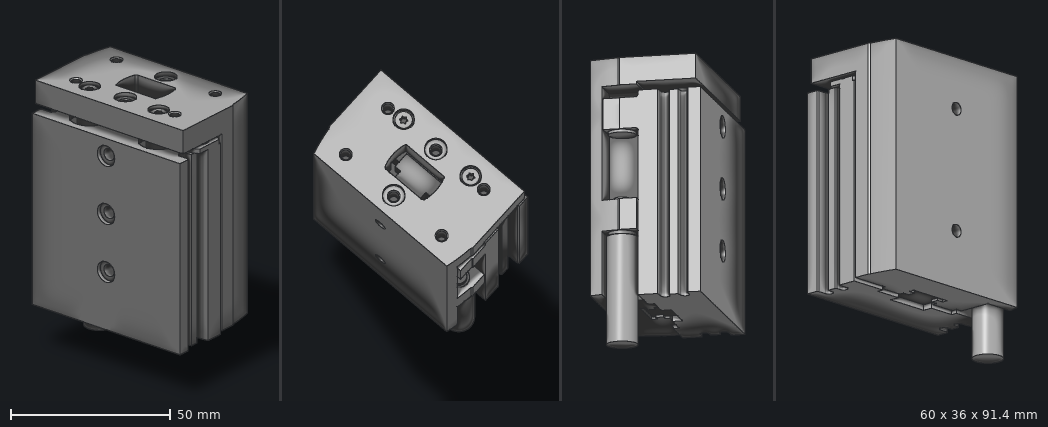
import cadquery as cq
import math


width = 60.0
half_width = width / 2
depth = 36.0
height = 91.4

housing_height = 66.0
housing_top = 80.5
housing_bottom = housing_top - housing_height
housing_back = 20.1
channel_floor = 18.1
channel_width = 33.8

slot_width = 2.9
slot_depth = 5.0
slot_y_front = 5.85
slot_y_back = 12.2
front_flare = (0.55, 0.4)
back_flare = (1.8, 0.3)
land_depth = 1.6

mount_pitch = 20.0
mount_hole = 4.1
mount_bore = 7.0
mount_bore_depth = 1.5
mount_top_margin = 6.0
mount_mid = housing_top - mount_top_margin - mount_pitch

stop_disc = 12.0
stop_disc_x = 26.3
stop_disc_y = 14.6
stop_disc_top = 82.1
stop_pin = 5.0
stop_pin_top = 82.35

plate_thickness = 8.0
plate_front = 1.55
plate_bottom = height - plate_thickness
slide_step = 20.7
slide_bottom = 15.5
shoulder_start = 26.1
shoulder_end = 26.7
shoulder_inset = 0.4
back_inset = 2.2
side_bulge = 0.2
rib_front = 18.8
rib_width = 32.9
rib_top = 76.8

pocket_wall = -18.55
pocket_back = 32.1
pocket_fillet = 1.5
pocket_top = 82.5
block_top = 45.9
block_bottom = 35.9

rail_width = 15.2
rail_front = 14.8
rail_back = 24.4
rail_top = 82.2
rail_length = 65.8
rail_bottom = rail_top - rail_length
track_depth = 2.3
track_front = 20.4
track_back = 22.9
groove_back = 24.9

window_front = 14.6
window_end_half = 8.0
window_mid_half = 9.0
window_chamfer = 0.55

hole_pitch = 20.0
hole_row_front = 9.6
hole_row_back = hole_row_front + hole_pitch
thread_core = 3.2
thread_rim = 4.0
thread_depth = 7.3
thread_chamfer = (thread_rim - thread_core) / 2

rod_diameter = 8.0
rod_x = 14.0
rod_y = 9.0
rod_length = 54.8
rod_bottom = plate_bottom - rod_length
screw_shank = 3.2
screw_face = 5.5
screw_bore = 6.7
screw_head_height = 2.7
screw_recess = 0.9
screw_top = height - screw_recess
screw_seat = screw_top - screw_head_height
socket_tip = 2.65
socket_root = 1.8
socket_depth = 2.3
socket_points = 6
rod_seat = 12.8
rod_seat_depth = 1.8

absorber_x = -24.5
absorber_y = 26.5
absorber_diameter = 10.0
absorber_shoulder = 34.7
absorber_neck = 9.0
absorber_thread = 6.7
absorber_thread_top = 45.0
absorber_pin = 5.0
absorber_top = 47.1

lug_top = 78.4
lug_bottom = 68.5
lug_back = 31.5
lug_clearance = 0.6
lug_fillet = 0.9
lug_pad = 9.0
lug_pad_height = 0.9


def block(x_range, y_range, z_range):
    """Box spanning the given (low, high) ranges."""
    low, high = zip(x_range, y_range, z_range)
    size = [b - a for a, b in zip(low, high)]
    return cq.Workplane("XY").box(*size, centered=False).translate(low)


def centred_block(size_x, y_range, z_range):
    return block((-size_x / 2, size_x / 2), y_range, z_range)


def upright_cylinder(diameter, x, y, z_range):
    bottom, top = z_range
    return cq.Workplane("XY", origin=(x, y, bottom)).circle(diameter / 2).extrude(top - bottom)


def front_cylinder(diameter, z, y_range):
    """Cylinder along Y on the centre plane."""
    front, back = y_range
    face = cq.Workplane("XZ", origin=(0, front, z)).circle(diameter / 2)
    return face.extrude(front - back)


def side_slot(side, centre_y, front_depth, back_depth):
    """Round-bottomed sensor slot over the full housing height.

    The flares of its mouth start at the given depths in from the side face.
    """
    radius = slot_width / 2
    front_run, front_rise = front_flare
    back_run, back_rise = back_flare

    def point(depth_in, across):
        return (side * (half_width - depth_in), centre_y + across)

    profile = (
        cq.Workplane("XY", origin=(0, 0, housing_bottom))
        .moveTo(*point(-land_depth, radius + back_rise))
        .lineTo(*point(back_depth, radius + back_rise))
        .lineTo(*point(back_depth + back_run, radius))
        .lineTo(*point(slot_depth - radius, radius))
        .threePointArc(point(slot_depth, 0), point(slot_depth - radius, -radius))
        .lineTo(*point(front_depth + front_run, -radius))
        .lineTo(*point(front_depth, -radius - front_rise))
        .lineTo(*point(-land_depth, -radius - front_rise))
        .close()
    )
    return profile.extrude(housing_height)


def make_lug():
    """Side lug on the housing with its round landing pad underneath."""
    lug_x = (-half_width + shoulder_inset, pocket_wall - lug_clearance)
    root_x = (-half_width, lug_x[1])
    lug = block(lug_x, (housing_back, lug_back), (lug_bottom, lug_top))
    root = block(root_x, (housing_back, shoulder_start), (lug_bottom, lug_top))
    pad = upright_cylinder(lug_pad, absorber_x, absorber_y, (lug_bottom - lug_pad_height, lug_bottom))
    return lug.union(root).union(pad)


def make_housing():
    z_range = (housing_bottom, housing_top)
    body = centred_block(width, (0, housing_back), z_range)
    body = body.union(make_lug())
    lug_roots = cq.selectors.BoxSelector(
        (-half_width, housing_back - 0.1, lug_bottom - 0.1),
        (0, housing_back + 0.1, lug_top + 0.1),
    )
    body = body.edges("|X").edges(lug_roots).fillet(lug_fillet)

    body = body.cut(centred_block(channel_width, (channel_floor, housing_back), z_range))
    body = body.cut(centred_block(rail_width, (rail_front, housing_back), z_range))

    for side in (-1, 1):
        body = body.cut(side_slot(side, slot_y_front, 0, land_depth))
        body = body.cut(side_slot(side, slot_y_back, land_depth, 0))
        land_x = sorted((side * half_width, side * (half_width - land_depth)))
        body = body.cut(block(land_x, (slot_y_front, slot_y_back), z_range))
        body = body.cut(upright_cylinder(rod_diameter, side * rod_x, rod_y, (rod_bottom, housing_top)))
        seat_z = (housing_top - rod_seat_depth, housing_top)
        body = body.cut(upright_cylinder(rod_seat, side * rod_x, rod_y, seat_z))

    for row in (-1, 0, 1):
        hole_z = mount_mid + row * mount_pitch
        body = body.cut(front_cylinder(mount_hole, hole_z, (0, rail_front)))
        body = body.cut(front_cylinder(mount_bore, hole_z, (0, mount_bore_depth)))

    disc = upright_cylinder(stop_disc, stop_disc_x, stop_disc_y, (housing_top, stop_disc_top))
    pin = upright_cylinder(stop_pin, stop_disc_x, stop_disc_y, (housing_top, stop_pin_top))
    return body.union(pin).union(disc.intersect(centred_block(width, (0, depth), (0, height))))


def slide_outline(front):
    """Plan outline: straight sides, a small shoulder, then slightly bowed tapering sides."""
    shoulder_x = half_width - shoulder_inset
    back_x = half_width - back_inset
    mid_x = (shoulder_x + back_x) / 2 + side_bulge
    mid_y = (shoulder_end + depth) / 2
    return (
        cq.Workplane("XY")
        .moveTo(-half_width, front)
        .lineTo(half_width, front)
        .lineTo(half_width, shoulder_start)
        .lineTo(shoulder_x, shoulder_end)
        .threePointArc((mid_x, mid_y), (back_x, depth))
        .lineTo(-back_x, depth)
        .threePointArc((-mid_x, mid_y), (-shoulder_x, shoulder_end))
        .lineTo(-half_width, shoulder_start)
        .close()
    )


def side_pocket(z_range):
    """Pocket open to the -X side and the front, with rounded corners at its inner wall."""
    pocket = block((-width, pocket_wall), (rib_front, pocket_back), z_range)
    return pocket.edges("|Y and >X").fillet(pocket_fillet)


def make_window():
    mid_y = (window_front + groove_back) / 2
    bottom = rib_top
    profile = (
        cq.Workplane("XY", origin=(0, 0, bottom))
        .moveTo(-window_end_half, window_front)
        .lineTo(window_end_half, window_front)
        .threePointArc((window_mid_half, mid_y), (window_end_half, groove_back))
        .lineTo(-window_end_half, groove_back)
        .threePointArc((-window_mid_half, mid_y), (-window_end_half, window_front))
        .close()
    )
    window = profile.extrude(height - bottom)
    return window.edges("|Z and >Y").chamfer(window_chamfer)


def rail_tracks(z_range):
    """The two square tracks in the rail sides, filled by tongues on the slide."""
    edge = rail_width / 2
    left = block((-edge, track_depth - edge), (track_front, track_back), z_range)
    return left.union(left.mirror("YZ"))


def threaded_hole(x, y, top):
    core = upright_cylinder(thread_core, x, y, (height - thread_depth, top))
    rim = cq.Workplane("XY", origin=(x, y, top)).circle(thread_rim / 2)
    return core.union(rim.workplane(offset=-thread_chamfer).circle(thread_core / 2).loft())


def make_slide():
    body = slide_outline(plate_front).extrude(plate_thickness).translate((0, 0, plate_bottom))
    upright = slide_outline(slide_step).extrude(height - slide_bottom).translate((0, 0, slide_bottom))
    rib = centred_block(rib_width, (rib_front, slide_step), (slide_bottom, rib_top))
    body = body.union(upright).union(rib)

    body = body.cut(side_pocket((block_top, pocket_top)))
    body = body.cut(side_pocket((slide_bottom - pocket_fillet * 2, block_bottom)))
    body = body.cut(
        upright_cylinder(absorber_thread, absorber_x, absorber_y, (block_bottom, block_top))
    )

    groove_z = (slide_bottom, rib_top)
    groove = centred_block(rail_width, (rib_front, groove_back), groove_z)
    body = body.cut(groove.cut(rail_tracks(groove_z)))
    body = body.cut(make_window())

    for x in (-hole_pitch, 0, hole_pitch):
        for y in (hole_row_front, hole_row_back):
            top = height
            if x == 0:
                top = height - mount_bore_depth
                body = body.cut(upright_cylinder(mount_bore, x, y, (top, height)))
            body = body.cut(threaded_hole(x, y, top))

    for side in (-1, 1):
        body = body.cut(upright_cylinder(screw_shank, side * rod_x, rod_y, (plate_bottom, screw_seat)))
        body = body.cut(upright_cylinder(screw_bore, side * rod_x, rod_y, (screw_seat, height)))

    for row in (-1, 1):
        hole_z = mount_mid + row * mount_pitch
        body = body.cut(front_cylinder(mount_hole, hole_z, (rib_front, depth)))
    return body


def make_rail():
    z_range = (rail_bottom, rail_top)
    body = centred_block(rail_width, (rail_front, rail_back), z_range)
    body = body.cut(rail_tracks(z_range))
    for row in (-1, 1):
        hole_z = mount_mid + row * mount_pitch
        body = body.cut(front_cylinder(mount_hole, hole_z, (rail_front, rail_back)))
    return body


def star_socket(x):
    points = []
    for i in range(2 * socket_points):
        radius = (socket_tip if i % 2 == 0 else socket_root) / 2
        angle = math.pi / 2 + i * math.pi / socket_points
        points.append((radius * math.cos(angle), radius * math.sin(angle)))
    face = cq.Workplane("XY", origin=(x, rod_y, screw_top)).polyline(points).close()
    return face.extrude(-socket_depth)


def make_rod(x):
    """Piston rod below the plate, joined through it to the screw head in the plate top."""
    rod = upright_cylinder(rod_diameter, x, rod_y, (rod_bottom, plate_bottom))
    shank = upright_cylinder(screw_shank, x, rod_y, (plate_bottom, screw_seat))
    head = upright_cylinder(screw_bore, x, rod_y, (screw_seat, screw_top))
    head = head.faces(">Z").chamfer((screw_bore - screw_face) / 2)
    return rod.union(shank).union(head).cut(star_socket(x))


def make_absorber():
    """Stepped cylinder, listed as (diameter, top) from the lower end upward."""
    steps = [
        (absorber_diameter, absorber_shoulder),
        (absorber_neck, block_bottom),
        (absorber_thread, absorber_thread_top),
        (absorber_pin, absorber_top),
    ]
    body = cq.Workplane("XY")
    bottom = 0
    for diameter, top in steps:
        body = body.add(upright_cylinder(diameter, absorber_x, absorber_y, (bottom, top)))
        bottom = top
    return body.combine()


housing = make_housing()
slide = make_slide()
rail = make_rail()
rods = [make_rod(side * rod_x) for side in (-1, 1)]
absorber = make_absorber()

result = cq.Compound.makeCompound(
    [housing.val(), slide.val(), rail.val(), *[rod.val() for rod in rods], absorber.val()]
)